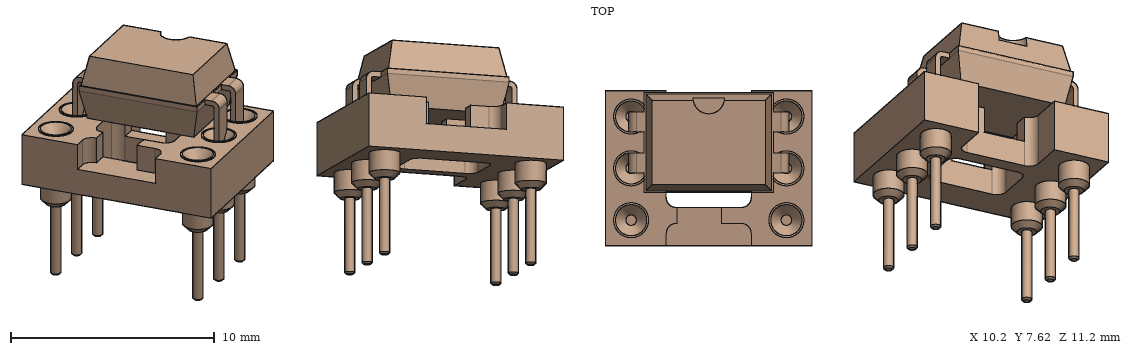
import cadquery as cq

total_height = 11.16

socket_length = 10.16
socket_width = 7.62
socket_bottom = 5.09
socket_top = 7.76

opening_width = 4.17
corner_radius = 0.5
window_front = -1.92
window_back = 0.8
bar_thickness = 0.78
bar_top = 6.43
neck_left = -1.56
neck_right = 0.62

pin_pitch = 2.55
row_spacing = 7.62
flange_diameter = 1.72
flange_height = 0.05
collar_diameter = 1.53
collar_bottom = 3.79
collar_chamfer = 0.29
pin_diameter = 0.51
pin_tip_chamfer = 0.09
funnel_depth = 0.6

package_center_y = pin_pitch / 2
package_bottom = 7.85
band_bottom = 9.39
band_thickness = 0.27
band_length = 6.34
band_width = 4.91
upper_step = 0.08
taper_inset = 0.31
notch_radius = 0.77
notch_depth = 0.54
notch_offset = 2.18

lead_span = 7.86
lead_width = 0.98
lead_pitch = 2.01
lead_bend_radius = 0.39

band_top = band_bottom + band_thickness
cup_top = socket_top + flange_height
funnel_bottom = cup_top - funnel_depth


def box_between(x_min, x_max, y_min, y_max, z_min, z_max):
    """Box given by its limits along each axis."""
    size = (x_max - x_min, y_max - y_min, z_max - z_min)
    return cq.Workplane("XY").box(*size, centered=False).translate((x_min, y_min, z_min))


def opening(y_min, y_max, z_min):
    """Full-width opening that reaches up through the top of the socket."""
    half_width = opening_width / 2
    return box_between(-half_width, half_width, y_min, y_max, z_min, socket_top)


def make_socket_body():
    half_width = socket_width / 2
    body = box_between(
        -socket_length / 2, socket_length / 2, -half_width, half_width, socket_bottom, socket_top
    )

    window = opening(window_front, window_back, socket_bottom).edges("|Z").fillet(corner_radius)

    recess_front = opening(-half_width, window_front - bar_thickness, bar_top)
    recess_front = recess_front.edges("|Z and >Y").fillet(corner_radius)
    recess_rear = opening(window_back + bar_thickness, half_width, socket_bottom)
    recess_rear = recess_rear.edges("|Z and <Y").fillet(corner_radius)

    neck = box_between(
        neck_left, neck_right,
        window_front - bar_thickness, window_back + bar_thickness,
        bar_top, socket_top,
    )
    return body.cut(window).cut(recess_front).cut(recess_rear).cut(neck)


def make_contact():
    """Turned contact on the Z axis: flange, collar and pin, without its hole."""
    flange_radius = flange_diameter / 2
    collar_radius = collar_diameter / 2
    pin_radius = pin_diameter / 2
    return (
        cq.Workplane("XZ")
        .moveTo(0, 0)
        .lineTo(pin_radius - pin_tip_chamfer, 0)
        .lineTo(pin_radius, pin_tip_chamfer)
        .lineTo(pin_radius, collar_bottom)
        .lineTo(collar_radius - collar_chamfer, collar_bottom)
        .lineTo(collar_radius, collar_bottom + collar_chamfer)
        .lineTo(collar_radius, socket_top)
        .lineTo(flange_radius, socket_top)
        .lineTo(flange_radius, cup_top)
        .lineTo(0, cup_top)
        .close()
        .revolve(360, (0, 0), (0, 1))
    )


def make_contact_hole():
    """Funnel that narrows into a blind hole ending level with the socket underside."""
    return (
        cq.Workplane("XZ")
        .moveTo(0, socket_bottom)
        .lineTo(pin_diameter / 2, socket_bottom)
        .lineTo(pin_diameter / 2, funnel_bottom)
        .lineTo(collar_diameter / 2, cup_top)
        .lineTo(0, cup_top)
        .close()
        .revolve(360, (0, 0), (0, 1))
    )


def frustum(length, width, z_start, z_end):
    """Rectangular block that leans in by taper_inset from z_start to z_end."""
    return (
        cq.Workplane("XY", origin=(0, package_center_y, z_start))
        .rect(length, width)
        .workplane(offset=z_end - z_start)
        .rect(length - 2 * taper_inset, width - 2 * taper_inset)
        .loft(ruled=True)
    )


def make_package():
    band = (
        cq.Workplane("XY", origin=(0, package_center_y, band_bottom))
        .rect(band_length, band_width)
        .extrude(band_thickness)
    )
    upper = frustum(band_length - 2 * upper_step, band_width - 2 * upper_step, band_top, total_height)
    lower = frustum(band_length, band_width, band_bottom, package_bottom)
    notch = (
        cq.Workplane("XY", origin=(0, package_center_y + notch_offset, total_height - notch_depth))
        .circle(notch_radius)
        .extrude(notch_depth)
    )
    return band.union(upper.cut(notch)).union(lower)


def make_lead_pair(y_center):
    """Both legs of one bent strip that crosses the package and ends in two funnels."""
    half_span = lead_span / 2
    outer = box_between(
        -half_span, half_span, y_center - lead_width / 2, y_center + lead_width / 2, funnel_bottom, band_top
    )
    inner_half_span = half_span - band_thickness
    inner = box_between(
        -inner_half_span, inner_half_span,
        y_center - lead_width / 2, y_center + lead_width / 2,
        funnel_bottom, band_bottom,
    )
    outer = outer.edges("|Y and >Z").fillet(lead_bend_radius)
    inner = inner.edges("|Y and >Z").fillet(lead_bend_radius - band_thickness)
    return outer.cut(inner)


contact_places = [
    (side * row_spacing / 2, row * pin_pitch, 0)
    for side in (-1, 1)
    for row in (-1, 0, 1)
]

result = make_socket_body()
for place in contact_places:
    result = result.union(make_contact().translate(place))
for place in contact_places:
    result = result.cut(make_contact_hole().translate(place))

result = result.union(make_package())
for side in (-1, 1):
    result = result.union(make_lead_pair(package_center_y + side * lead_pitch / 2))